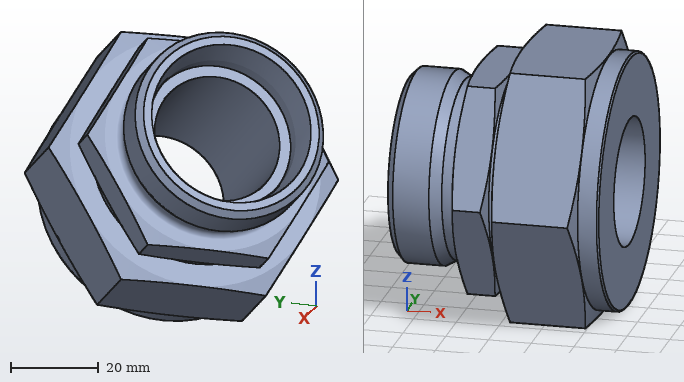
import cadquery as cq
import math

total_length = 51.4
lead_chamfer = 1.5
thread_end = 10.0
relief_end = 16.0
small_hex_end = 24.5
big_hex_start = 26.45
big_hex_end = 46.55

big_hex_corners = 69.3
big_hex_flats = big_hex_corners * math.cos(math.radians(30))
small_hex_flats = 50.0
hex_chamfer_angle = 15.0

thread_radius = 22.5
relief_radius = thread_radius - lead_chamfer
runout_angle = 30.0
relief_fillet = 1.4
neck_radius = 24.7
collar_radius = 29.8
collar_chamfer = 0.4

mouth_radius = 19.05
socket_radius = 17.6
bore_radius = 14.95
seat_angle = 12.0
socket_depth = 10.45


def revolve_about_x(points):
    """Solid of revolution about X from (x, radius) points."""
    return cq.Workplane("XY").polyline(points).close().revolve(360, (0, 0, 0), (1, 0, 0))


def threaded_end():
    """Male end with a lead chamfer, a thread runout and a filleted relief groove."""
    runout_length = (thread_radius - relief_radius) / math.tan(math.radians(runout_angle))
    fillet_middle = relief_fillet * math.sqrt(0.5)
    profile = (
        cq.Workplane("XY")
        .moveTo(0, 0)
        .lineTo(0, thread_radius - lead_chamfer)
        .lineTo(lead_chamfer, thread_radius)
        .lineTo(thread_end, thread_radius)
        .lineTo(thread_end + runout_length, relief_radius)
        .lineTo(relief_end - relief_fillet, relief_radius)
        .threePointArc(
            (relief_end - relief_fillet + fillet_middle, relief_radius + relief_fillet - fillet_middle),
            (relief_end, relief_radius + relief_fillet),
        )
        .lineTo(relief_end, 0)
        .close()
    )
    return profile.revolve(360, (0, 0, 0), (1, 0, 0))


def chamfered_hex(start, end, flats):
    """Hexagon along X whose corners are cut conically on both faces."""
    flat_radius = flats / 2
    corner_radius = flat_radius / math.cos(math.radians(30))
    chamfer_length = (corner_radius - flat_radius) * math.tan(math.radians(hex_chamfer_angle))
    prism = (
        cq.Workplane("YZ")
        .workplane(offset=start)
        .polygon(6, 2 * corner_radius)
        .extrude(end - start)
    )
    envelope = revolve_about_x([
        (start, 0),
        (start, flat_radius),
        (start + chamfer_length, corner_radius),
        (end - chamfer_length, corner_radius),
        (end, flat_radius),
        (end, 0),
    ])
    return prism.intersect(envelope)


def neck():
    """Plain cylinder joining the two hexagons."""
    length = big_hex_start - small_hex_end
    return cq.Workplane("YZ").workplane(offset=small_hex_end).circle(neck_radius).extrude(length)


def collar():
    """Round collar behind the big hexagon, chamfered on its outer face."""
    blank = cq.Workplane("YZ").workplane(offset=big_hex_end).circle(collar_radius)
    return blank.extrude(total_length - big_hex_end).faces(">X").chamfer(collar_chamfer)


def bore():
    """Conical seat, tube socket and through bore."""
    seat_depth = (mouth_radius - socket_radius) / math.tan(math.radians(seat_angle))
    return revolve_about_x([
        (0, 0),
        (0, mouth_radius),
        (seat_depth, socket_radius),
        (socket_depth, socket_radius),
        (socket_depth, bore_radius),
        (total_length, bore_radius),
        (total_length, 0),
    ])


result = (
    threaded_end()
    .union(chamfered_hex(relief_end, small_hex_end, small_hex_flats))
    .union(neck())
    .union(chamfered_hex(big_hex_start, big_hex_end, big_hex_flats))
    .union(collar())
    .cut(bore())
)